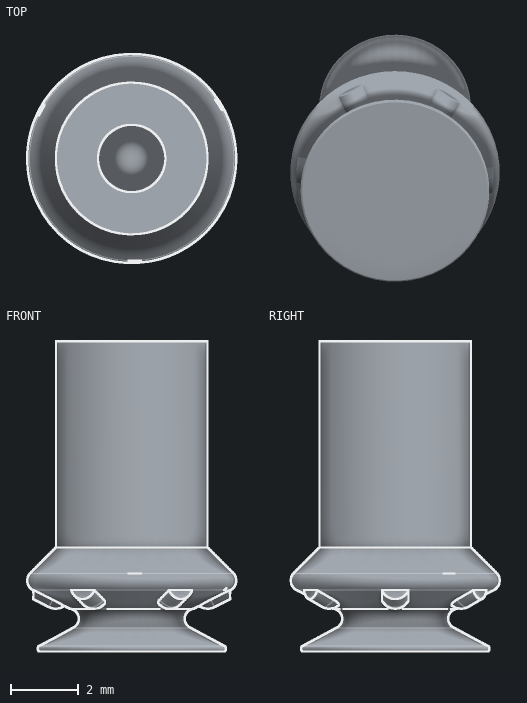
import cadquery as cq
import math

total_height = 9.2
barrel_radius = 4.5 / 2
bore_radius = 2.0 / 2
shoulder_top = 3.09
bore_floor = shoulder_top

rim_radius = 3.1
rim_middle = 2.09
rim_upper_z = 2.31
rim_upper_radius = barrel_radius + (shoulder_top - rim_upper_z)
rim_lower_radius = 2.93
rim_lower_z = 1.82

neck_radius = 1.57
neck_middle = 0.98
neck_upper_radius = 1.84
neck_upper_z = 1.27
neck_lower_radius = 1.75
neck_lower_z = 0.71

lip_radius = 2.8
lip_middle = 0.09
lip_edge_radius = 2.74
lip_top = 0.175

rib_count = 6
rib_radius = 0.44
rib_inner_radius = 2.25
rib_inner_z = 1.71
rib_outer_radius = 2.93
rib_length = 1.1


def make_body():
    """Revolve the barrel, bellows fold, neck and lip, with a blind bore from the top."""
    profile = (
        cq.Workplane("XZ")
        .moveTo(0, 0)
        .lineTo(lip_edge_radius, 0)
        .threePointArc((lip_radius, lip_middle), (lip_edge_radius, lip_top))
        .lineTo(neck_lower_radius, neck_lower_z)
        .threePointArc((neck_radius, neck_middle), (neck_upper_radius, neck_upper_z))
        .lineTo(rim_lower_radius, rim_lower_z)
        .threePointArc((rim_radius, rim_middle), (rim_upper_radius, rim_upper_z))
        .lineTo(barrel_radius, shoulder_top)
        .lineTo(barrel_radius, total_height)
        .lineTo(bore_radius, total_height)
        .lineTo(bore_radius, bore_floor)
        .lineTo(0, bore_floor)
        .close()
    )
    return profile.revolve(360, (0, 0, 0), (0, 1, 0))


def make_rib():
    """Rib along +X, parallel to the underside, with a ball inner end and an upright outer face."""
    slope = math.atan2(rim_lower_z - neck_upper_z, rim_lower_radius - neck_upper_radius)
    inner_end = cq.Vector(rib_inner_radius, 0, rib_inner_z)
    direction = cq.Vector(math.cos(slope), 0, math.sin(slope))
    ball = cq.Workplane("XY").sphere(rib_radius).translate(inner_end)
    rod = cq.Workplane(cq.Solid.makeCylinder(rib_radius, rib_length, inner_end, direction))
    envelope = cq.Workplane("XY").circle(rib_outer_radius).extrude(rim_middle)
    return ball.union(rod).intersect(envelope)


result = make_body()
rib = make_rib()
for index in range(rib_count):
    angle = index * 360 / rib_count
    result = result.union(rib.rotate((0, 0, 0), (0, 0, 1), angle))